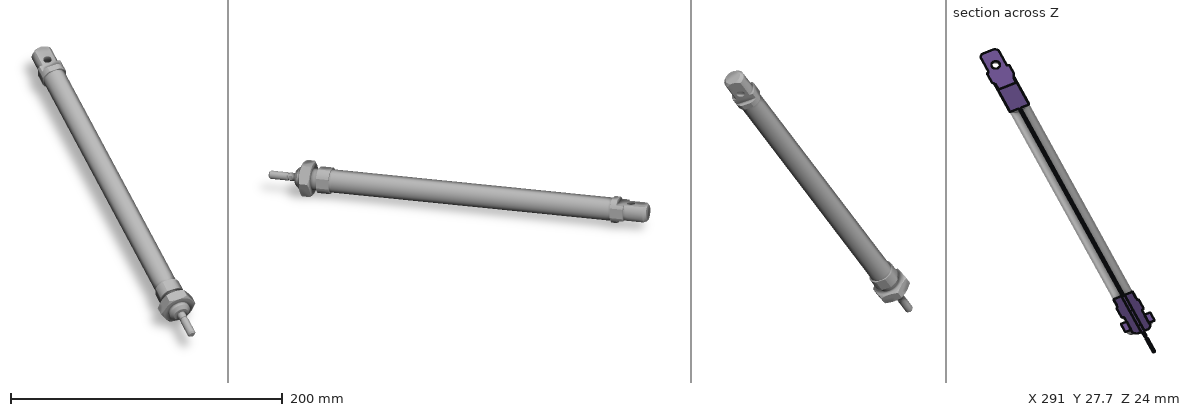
import cadquery as cq
import math

rear_boss_end = 17.0
rear_flat_end = 22.0
rear_collar_end = 26.8
barrel_start = 28.2
rear_plug_end = 33.8
piston_end = 55.0
front_plug_start = 235.0
barrel_end = 241.2
front_collar_start = 243.0
front_collar_end = 252.5
nut_start = 257.0
nut_end = 265.0
front_cap_end = 270.0
wrench_start = 272.7
neck_start = 275.0
neck_end = 276.2
wrench_end = 277.0
rod_end = 291.0

barrel_diameter = 17.2
bore_diameter = 16.0
collar_diameter = 19.8
collar_across_flats = 18.3
boss_chamfer = 2.0
clevis_thickness = 12.0
clevis_hole_diameter = 6.0
clevis_hole_x = 13.0
thread_diameter = 16.0
thread_chamfer = 2.3

nut_sides = 6
nut_across_flats = 24.0
nut_across_corners = nut_across_flats / math.cos(math.pi / nut_sides)
nut_face_diameter = nut_across_flats
nut_chamfer_angle = 30

rod_diameter = 6.0
rod_across_flats = 5.2
neck_diameter = 5.0
rod_tip_length = 1.2
rod_tip_diameter = 4.0


def cylinder(start, end, diameter):
    """Round bar on the X axis between two stations."""
    return cq.Workplane("YZ", origin=(start, 0, 0)).circle(diameter / 2).extrude(end - start)


def bar(start, end, width_y, width_z):
    """Rectangular bar centred on the X axis between two stations."""
    return cq.Workplane("YZ", origin=(start, 0, 0)).rect(width_y, width_z).extrude(end - start)


def collar(start, end):
    """Round collar with four wrench flats facing +-Y and +-Z."""
    flats = bar(start, end, collar_across_flats, collar_across_flats)
    return cylinder(start, end, collar_diameter).intersect(flats)


def make_rear_cap():
    """Rear cap: clevis boss with a pivot hole, collar, and a plug inside the barrel."""
    boss = cylinder(0, rear_boss_end, thread_diameter).faces("<X").chamfer(boss_chamfer)
    spigot = cylinder(rear_collar_end, barrel_start, barrel_diameter)
    cap = boss.union(collar(rear_boss_end, rear_collar_end)).union(spigot)
    clevis = bar(0, rear_flat_end, collar_diameter, clevis_thickness)
    full_section = bar(rear_flat_end, barrel_start, collar_diameter, collar_diameter)
    cap = cap.intersect(clevis.union(full_section))
    pivot_hole = (
        cq.Workplane("XY")
        .center(clevis_hole_x, 0)
        .circle(clevis_hole_diameter / 2)
        .extrude(clevis_thickness, both=True)
    )
    plug = cylinder(barrel_start, rear_plug_end, bore_diameter)
    return cap.union(plug).cut(pivot_hole)


def make_barrel():
    """Thin-walled tube between the two caps."""
    tube = cylinder(barrel_start, barrel_end, barrel_diameter)
    return tube.cut(cylinder(barrel_start, barrel_end, bore_diameter))


def make_front_cap():
    """Front cap: plug inside the barrel, collar and threaded nose bored for the rod."""
    spigot = cylinder(barrel_end, front_collar_start, barrel_diameter)
    thread = cylinder(front_collar_end, front_cap_end, thread_diameter).faces(">X").chamfer(thread_chamfer)
    cap = spigot.union(collar(front_collar_start, front_collar_end)).union(thread)
    cap = cap.union(cylinder(front_plug_start, barrel_end, bore_diameter))
    return cap.cut(cylinder(front_plug_start, front_cap_end, rod_diameter))


def make_nut():
    """Hexagonal mounting nut with bevelled corners, on the front thread."""
    hexagon = (
        cq.Workplane("YZ", origin=(nut_start, 0, 0))
        .polygon(nut_sides, nut_across_corners)
        .extrude(nut_end - nut_start)
    )
    corner_radius = nut_across_corners / 2
    face_radius = nut_face_diameter / 2
    bevel_length = (corner_radius - face_radius) * math.tan(math.radians(nut_chamfer_angle))
    envelope = (
        cq.Workplane("XY")
        .moveTo(nut_start, 0)
        .lineTo(nut_start, face_radius)
        .lineTo(nut_start + bevel_length, corner_radius)
        .lineTo(nut_end - bevel_length, corner_radius)
        .lineTo(nut_end, face_radius)
        .lineTo(nut_end, 0)
        .close()
        .revolve(360, (0, 0, 0), (1, 0, 0))
    )
    return hexagon.intersect(envelope).cut(cylinder(nut_start, nut_end, thread_diameter))


def make_rod():
    """Piston and rod, with wrench flats, an undercut neck and a tapered tip."""
    rod = cylinder(piston_end, rod_end, rod_diameter)
    tip_depth = (rod_diameter - rod_tip_diameter) / 2
    rod = rod.faces(">X").chamfer(rod_tip_length, tip_depth)
    wrench_blank = bar(wrench_start, wrench_end, rod_diameter, rod_diameter)
    wrench_core = bar(wrench_start, wrench_end, rod_across_flats, rod_diameter)
    rod = rod.cut(wrench_blank.cut(wrench_core))
    neck_ring = cylinder(neck_start, neck_end, rod_diameter).cut(cylinder(neck_start, neck_end, neck_diameter))
    piston = cylinder(rear_plug_end, piston_end, bore_diameter)
    return rod.cut(neck_ring).union(piston)


rear_cap = make_rear_cap()
barrel = make_barrel()
front_cap = make_front_cap()
nut = make_nut()
rod = make_rod()

result = cq.Compound.makeCompound(
    [rear_cap.val(), barrel.val(), front_cap.val(), nut.val(), rod.val()]
)